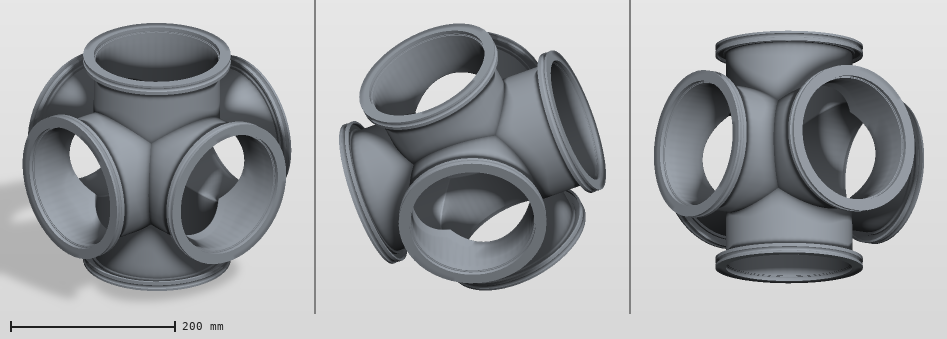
import cadquery as cq

overall_size = 276.0
port_face = overall_size / 2
port_directions = [(1, 0, 0), (-1, 0, 0), (0, 1, 0), (0, -1, 0), (0, 0, 1), (0, 0, -1)]

tube_radius = 154.0 / 2
tube_wall = 2.0
bore_radius = tube_radius - tube_wall
tube_recess = 6.0
crossing_fillet = 1.7

flange_radius = 180.0 / 2
flange_thickness = 12.0
recess_depth = 5.0
shoulder_radius = tube_radius - tube_wall / 2

groove_front = 2.8
groove_crease = 5.0
groove_back = 7.7
groove_depth = 2.2
groove_front_radius = groove_depth
groove_back_radius = 3.3

lip_thickness = 3.3
lip_setback = 0.8
relief_outer_radius = 87.2
relief_depth = 4.0


def port_plane(direction):
    """Plane at the centre of the part whose normal points out through a port."""
    x_axis = (0, 1, 0) if direction[0] else (1, 0, 0)
    return cq.Plane(origin=(0, 0, 0), xDir=x_axis, normal=direction)


def six_way(radius, reach):
    """Three crossing cylinders, each running from -reach to +reach on its axis."""
    cylinders = [
        cq.Workplane(port_plane(axis)).circle(radius).extrude(reach, both=True)
        for axis in [(1, 0, 0), (0, 1, 0), (0, 0, 1)]
    ]
    return cylinders[0].union(cylinders[1]).union(cylinders[2])


def make_cross():
    """Hollow six-way tube cross with equal bores and rounded inner edges."""
    tube_end = port_face - tube_recess
    bores = six_way(bore_radius, tube_end).edges("%ELLIPSE").fillet(crossing_fillet)
    return six_way(tube_radius, tube_end).cut(bores)


def make_flange(direction):
    """Clamp flange for one port: a revolved ring around the tube end."""
    back_face = port_face - flange_thickness
    tube_end = port_face - tube_recess
    lip_radius = tube_radius + lip_thickness
    profile = (
        cq.Workplane("XZ")
        .moveTo(tube_radius, back_face + lip_setback)
        .lineTo(lip_radius, back_face + lip_setback)
        .lineTo(lip_radius, back_face + relief_depth)
        .lineTo(relief_outer_radius, back_face + relief_depth)
        .lineTo(relief_outer_radius, back_face)
        .lineTo(flange_radius, back_face)
        .lineTo(flange_radius, port_face - groove_back)
        .radiusArc((flange_radius - groove_depth, port_face - groove_crease), groove_back_radius)
        .radiusArc((flange_radius, port_face - groove_front), groove_front_radius)
        .lineTo(flange_radius, port_face)
        .lineTo(tube_radius, port_face)
        .lineTo(tube_radius, port_face - recess_depth)
        .lineTo(shoulder_radius, port_face - recess_depth)
        .lineTo(shoulder_radius, tube_end)
        .lineTo(tube_radius, tube_end)
        .close()
    )
    ring = profile.revolve(360, (0, 0, 0), (0, 1, 0))
    return ring.val().moved(cq.Location(port_plane(direction)))


cross = make_cross()
flanges = [make_flange(direction) for direction in port_directions]

result = cq.Compound.makeCompound([cross.val(), *flanges])